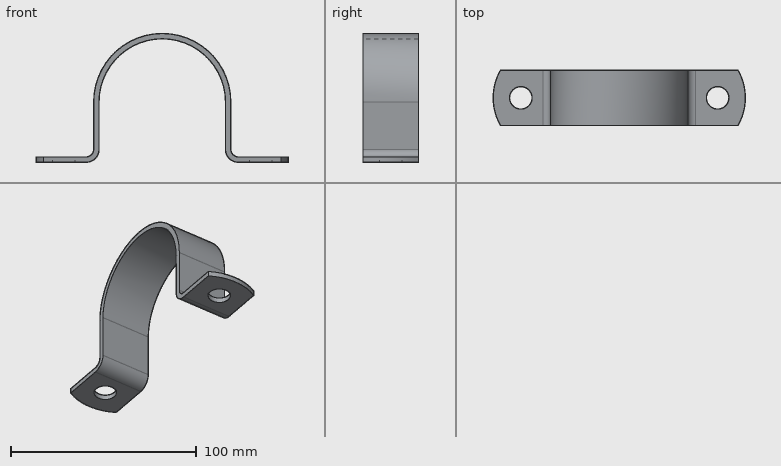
import cadquery as cq
import math

thickness = 3.0
strap_width = 30.0
overall_length = 136.0
overall_height = 69.5
saddle_inner_radius = 34.0
bend_inner_radius = 4.0
foot_end_radius = 30.0
hole_diameter = 12.0
hole_spacing = 106.0

saddle_outer_radius = saddle_inner_radius + thickness
saddle_center_z = overall_height - saddle_outer_radius
bend_outer_radius = bend_inner_radius + thickness
bend_center_x = saddle_outer_radius + bend_inner_radius
bend_center_z = bend_outer_radius
half_length = overall_length / 2
half_width = strap_width / 2


def bend_midpoint(side, radius):
    """Middle of the quarter bend that joins a leg to its foot."""
    offset = radius * math.sqrt(0.5)
    return (side * (bend_center_x - offset), bend_center_z - offset)


def make_strap():
    """Bent strip: foot, leg, half-round saddle, leg, foot."""
    left, right = -1, 1
    profile = (
        cq.Workplane("XZ")
        .moveTo(-half_length, 0)
        .lineTo(-bend_center_x, 0)
        .threePointArc(bend_midpoint(left, bend_outer_radius), (-saddle_inner_radius, bend_center_z))
        .lineTo(-saddle_inner_radius, saddle_center_z)
        .threePointArc(
            (0, saddle_center_z + saddle_inner_radius),
            (saddle_inner_radius, saddle_center_z),
        )
        .lineTo(saddle_inner_radius, bend_center_z)
        .threePointArc(bend_midpoint(right, bend_outer_radius), (bend_center_x, 0))
        .lineTo(half_length, 0)
        .lineTo(half_length, thickness)
        .lineTo(bend_center_x, thickness)
        .threePointArc(bend_midpoint(right, bend_inner_radius), (saddle_outer_radius, bend_center_z))
        .lineTo(saddle_outer_radius, saddle_center_z)
        .threePointArc((0, overall_height), (-saddle_outer_radius, saddle_center_z))
        .lineTo(-saddle_outer_radius, bend_center_z)
        .threePointArc(bend_midpoint(left, bend_inner_radius), (-bend_center_x, thickness))
        .lineTo(-half_length, thickness)
        .close()
    )
    return profile.extrude(half_width, both=True)


def make_plan_envelope():
    """Block with rounded ends that gives the feet their curved tips."""
    tip_height = foot_end_radius - math.sqrt(foot_end_radius**2 - half_width**2)
    corner_x = half_length - tip_height
    return (
        cq.Workplane("XY")
        .moveTo(-corner_x, -half_width)
        .lineTo(corner_x, -half_width)
        .threePointArc((half_length, 0), (corner_x, half_width))
        .lineTo(-corner_x, half_width)
        .threePointArc((-half_length, 0), (-corner_x, -half_width))
        .close()
        .extrude(overall_height)
    )


def make_foot_holes():
    """Screw hole through each foot."""
    return (
        cq.Workplane("XY")
        .pushPoints([(-hole_spacing / 2, 0), (hole_spacing / 2, 0)])
        .circle(hole_diameter / 2)
        .extrude(thickness)
    )


result = make_strap().intersect(make_plan_envelope()).cut(make_foot_holes())